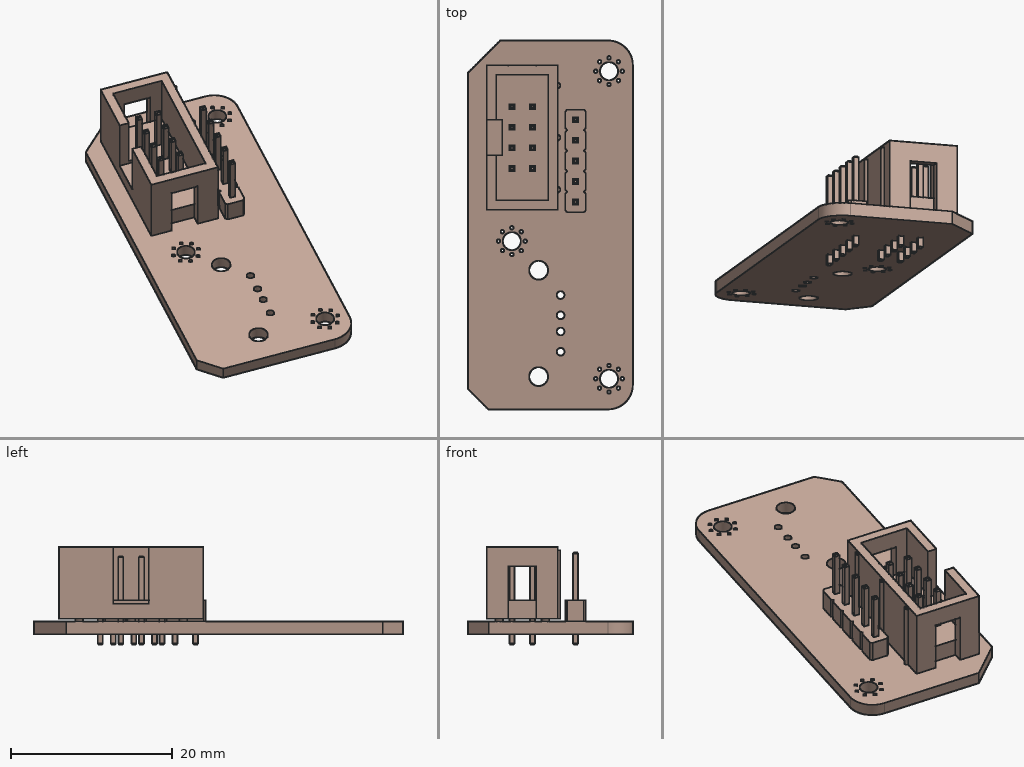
import cadquery as cq
import math


BOARD_WIDTH = 20.39
BOARD_LENGTH = 45.6
BOARD_THICKNESS = 1.6
UPPER_BEVEL = 4.0
LOWER_BEVEL = 2.54
CORNER_RADIUS = 3.1

MOUNT_DIAMETER = 2.2
MOUNT_EDGE_INSET = 3.81
MOUNT_RIGHT_X = 17.42
MOUNT_LEFT_CENTER = (5.42, 20.8)
MOUNT_CENTERS = [
    (MOUNT_RIGHT_X, MOUNT_EDGE_INSET),
    (MOUNT_RIGHT_X, BOARD_LENGTH - MOUNT_EDGE_INSET),
    MOUNT_LEFT_CENTER,
]
VIA_DIAMETER = 0.4
VIA_RING_RADIUS = 1.65
VIA_COUNT = 8

FOOTPRINT_CENTER_Y = 10.64
CONTACT_ROW_X = 11.44
CONTACT_DIAMETER = 0.92
CONTACT_INNER_SPAN = 2.0
CONTACT_OUTER_SPAN = 7.0
SHELL_ROW_OFFSET = 2.71
SHELL_ROW_X = CONTACT_ROW_X - SHELL_ROW_OFFSET
SHELL_DIAMETER = 2.3
SHELL_SPAN = 13.14

PITCH = 2.54
PIN_WIDTH = 0.64
PIN_TIP_CHAMFER = 0.18
PIN_BOTTOM_Z = -1.3

BOX_CENTER = (6.7, BOARD_LENGTH - 12.01)
BOX_COLUMNS = 2
BOX_ROWS = 4
BOX_WIDTH = 8.8
BOX_LENGTH = 17.87
BOX_WALL = 1.2
BOX_STANDOFF = 0.32
BOX_BOTTOM_Z = BOARD_THICKNESS + BOX_STANDOFF
BOX_TOP_Z = BOARD_THICKNESS + 9.2
BOX_FLOOR_Z = BOARD_THICKNESS + 2.62
BOX_PIN_TOP_Z = BOX_TOP_Z - 1.12
END_SLOT_WIDTH = 3.43
END_SLOT_TOP_Z = BOX_TOP_Z - 2.4
KEY_WIDTH = 4.4
KEY_DEPTH = 1.94
KEY_BOTTOM_Z = BOX_FLOOR_Z - 0.42
RIB_DIAMETER = 0.76
RIB_PROTRUSION = 0.3
RIB_TOP_Z = BOX_TOP_Z - 0.38
FOOT_DIAMETER = 1.0
FOOT_COLUMNS = 2
FOOT_SPACING_X = 5.72
SUPPORT_PITCH_Y = 6.43
SUPPORT_ROWS = 3

STRIP_CENTER = (13.29, BOARD_LENGTH - 14.89)
STRIP_PINS = 5
STRIP_CORNER = 0.25
STRIP_TOP_Z = BOARD_THICKNESS + 2.64
STRIP_PIN_TOP_Z = BOARD_THICKNESS + 8.57


def block(center, size_x, size_y, bottom, top):
    """Upright rectangular block centred on a point in plan."""
    plan = cq.Workplane("XY", origin=(*center, bottom))
    return plan.rect(size_x, size_y).extrude(top - bottom)


def cylinders(centers, diameter, bottom, top):
    """Upright cylinders at the given plan positions."""
    plan = cq.Workplane("XY", origin=(0, 0, bottom)).pushPoints(centers)
    return plan.circle(diameter / 2).extrude(top - bottom)


def spread(count, pitch, middle=0.0):
    """Evenly spaced positions about a middle value."""
    return [middle + (i - (count - 1) / 2) * pitch for i in range(count)]


def grid(center, columns, column_pitch, rows, row_pitch):
    """Plan positions of a rectangular grid about its centre."""
    xs = spread(columns, column_pitch, center[0])
    ys = spread(rows, row_pitch, center[1])
    return [(x, y) for x in xs for y in ys]


def make_pin(center, top):
    """Square pin with both tips chamfered."""
    pin = block(center, PIN_WIDTH, PIN_WIDTH, PIN_BOTTOM_Z, top)
    return pin.faces("<Z or >Z").chamfer(PIN_TIP_CHAMFER)


BOX_PIN_CENTERS = grid(BOX_CENTER, BOX_COLUMNS, PITCH, BOX_ROWS, PITCH)
STRIP_PIN_CENTERS = grid(STRIP_CENTER, 1, PITCH, STRIP_PINS, PITCH)


def board_plate():
    """Plate with both left corners bevelled and both right corners rounded."""
    arc_offset = CORNER_RADIUS * (1 - math.sqrt(0.5))
    return (
        cq.Workplane("XY")
        .moveTo(LOWER_BEVEL, 0)
        .lineTo(BOARD_WIDTH - CORNER_RADIUS, 0)
        .threePointArc((BOARD_WIDTH - arc_offset, arc_offset), (BOARD_WIDTH, CORNER_RADIUS))
        .lineTo(BOARD_WIDTH, BOARD_LENGTH - CORNER_RADIUS)
        .threePointArc(
            (BOARD_WIDTH - arc_offset, BOARD_LENGTH - arc_offset),
            (BOARD_WIDTH - CORNER_RADIUS, BOARD_LENGTH),
        )
        .lineTo(UPPER_BEVEL, BOARD_LENGTH)
        .lineTo(0, BOARD_LENGTH - UPPER_BEVEL)
        .lineTo(0, LOWER_BEVEL)
        .close()
        .extrude(BOARD_THICKNESS)
    )


def via_centers():
    """Ring of vias around every mounting hole."""
    centers = []
    for x, y in MOUNT_CENTERS:
        for i in range(VIA_COUNT):
            angle = 2 * math.pi * i / VIA_COUNT
            centers.append((x + VIA_RING_RADIUS * math.cos(angle), y + VIA_RING_RADIUS * math.sin(angle)))
    return centers


def make_board():
    """Circuit board with its drilled holes and the square holes that the pins fill."""
    contact_ys = spread(2, CONTACT_INNER_SPAN, FOOTPRINT_CENTER_Y)
    contact_ys += spread(2, CONTACT_OUTER_SPAN, FOOTPRINT_CENTER_Y)
    shell_ys = spread(2, SHELL_SPAN, FOOTPRINT_CENTER_Y)
    drillings = [
        (MOUNT_CENTERS, MOUNT_DIAMETER),
        (via_centers(), VIA_DIAMETER),
        ([(CONTACT_ROW_X, y) for y in contact_ys], CONTACT_DIAMETER),
        ([(SHELL_ROW_X, y) for y in shell_ys], SHELL_DIAMETER),
    ]
    board = board_plate()
    for centers, diameter in drillings:
        board = board.cut(cylinders(centers, diameter, 0, BOARD_THICKNESS))
    pin_holes = cq.Workplane("XY").pushPoints(BOX_PIN_CENTERS + STRIP_PIN_CENTERS)
    return board.cut(pin_holes.rect(PIN_WIDTH, PIN_WIDTH).extrude(BOARD_THICKNESS))


def make_box_header():
    """Shrouded header: open box with key notch, end slots, ribs, feet and pins."""
    center_x, center_y = BOX_CENTER
    left_x = center_x - BOX_WIDTH / 2
    right_x = center_x + BOX_WIDTH / 2
    inner_width = BOX_WIDTH - 2 * BOX_WALL
    inner_length = BOX_LENGTH - 2 * BOX_WALL

    box = block(BOX_CENTER, BOX_WIDTH, BOX_LENGTH, BOX_BOTTOM_Z, BOX_TOP_Z)
    box = box.cut(block(BOX_CENTER, inner_width, inner_length, BOX_FLOOR_Z, BOX_TOP_Z))

    for end_y in spread(2, BOX_LENGTH - BOX_WALL, center_y):
        slot_center = (center_x, end_y)
        box = box.cut(block(slot_center, END_SLOT_WIDTH, BOX_WALL, BOX_BOTTOM_Z, END_SLOT_TOP_Z))

    key_center = (left_x + KEY_DEPTH / 2, center_y)
    box = box.cut(block(key_center, KEY_DEPTH, KEY_WIDTH, KEY_BOTTOM_Z, BOX_TOP_Z))

    rib_x = right_x + RIB_PROTRUSION - RIB_DIAMETER / 2
    rib_centers = [(rib_x, y) for y in spread(SUPPORT_ROWS, SUPPORT_PITCH_Y, center_y)]
    box = box.union(cylinders(rib_centers, RIB_DIAMETER, BOX_BOTTOM_Z, RIB_TOP_Z))

    foot_centers = grid(BOX_CENTER, FOOT_COLUMNS, FOOT_SPACING_X, SUPPORT_ROWS, SUPPORT_PITCH_Y)
    box = box.union(cylinders(foot_centers, FOOT_DIAMETER, BOARD_THICKNESS, BOX_BOTTOM_Z))

    for center in BOX_PIN_CENTERS:
        box = box.union(make_pin(center, BOX_PIN_TOP_Z))
    return box


def make_pin_header():
    """Strip of corner-cut insulator blocks in a row, one pin through each."""
    strip = cq.Workplane("XY")
    for center in STRIP_PIN_CENTERS:
        insulator = block(center, PITCH, PITCH, BOARD_THICKNESS, STRIP_TOP_Z)
        strip = strip.union(insulator.edges("|Z").chamfer(STRIP_CORNER))
        strip = strip.union(make_pin(center, STRIP_PIN_TOP_Z))
    return strip


board = make_board()
box_header = make_box_header()
pin_header = make_pin_header()

result = cq.Compound.makeCompound([board.val(), box_header.val(), pin_header.val()])